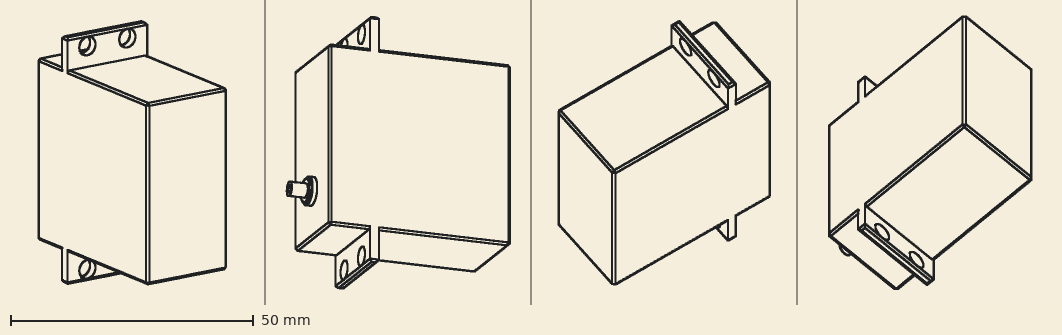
import cadquery as cq

body_length = 40.0
body_width = 20.0
body_height = 39.0
edge_chamfer = 0.5

ear_front = 9.0
ear_thickness = 2.0
ear_overhang = 7.0
ear_span = body_height + 2 * ear_overhang
ear_hole_diameter = 4.0
ear_hole_pitch = 10.0
ear_hole_end_distance = 2.5

shaft_height_above_base = 10.0
shaft_z = -body_height / 2 + shaft_height_above_base
collar_diameter = 6.0
collar_reach = 1.0
step_diameter = 5.0
step_reach = 1.5
shaft_diameter = 3.0
shaft_reach = 5.0
bore_diameter = 1.5
bore_depth = shaft_reach


def make_body():
    block = cq.Workplane("XY").box(body_length, body_width, body_height, centered=(False, True, True))
    return block.edges().chamfer(edge_chamfer)


def make_ear_plate():
    plate = cq.Workplane("XY").box(ear_thickness, body_width, ear_span, centered=(False, True, True))
    plate = plate.faces("|Z").edges().chamfer(edge_chamfer)
    plate = plate.translate((ear_front, 0, 0))
    hole_z_pitch = ear_span - 2 * ear_hole_end_distance
    holes = (
        cq.Workplane("YZ", origin=(ear_front, 0, 0))
        .rarray(ear_hole_pitch, hole_z_pitch, 2, 2)
        .circle(ear_hole_diameter / 2)
        .extrude(ear_thickness)
    )
    return plate.cut(holes)


def shaft_cylinder(diameter, reach):
    """Cylinder on the shaft axis, from the front face of the body out to -X."""
    front_face = cq.Workplane("YZ", origin=(0, 0, shaft_z))
    return front_face.circle(diameter / 2).extrude(-reach)


def shaft_bore():
    """Blind bore starting at the free end of the shaft."""
    shaft_end = cq.Workplane("YZ", origin=(-shaft_reach, 0, shaft_z))
    return shaft_end.circle(bore_diameter / 2).extrude(bore_depth)


result = make_body().union(make_ear_plate())
for diameter, reach in (
    (collar_diameter, collar_reach),
    (step_diameter, step_reach),
    (shaft_diameter, shaft_reach),
):
    result = result.union(shaft_cylinder(diameter, reach))
result = result.cut(shaft_bore())